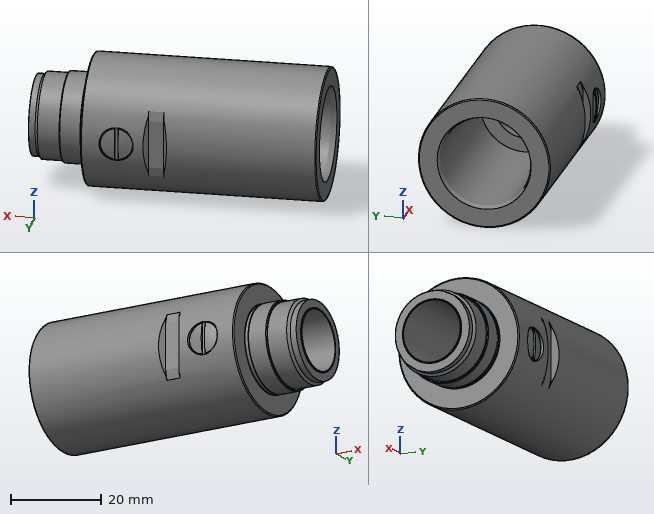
import cadquery as cq
import math

total_length = 66.0
barrel_length = 53.05
barrel_radius = 15.015
barrel_edge_chamfer = 0.25
bore_radius = 10.3
mouth_radius = 10.7
mouth_depth = 1.25

notch_center_x = 36.3
notch_floor_width = 3.4
notch_side_run = 0.9
notch_floor_y = 13.45
notch_floor_half_height = 5.5
notch_half_height = 7.65
notch_end_y = math.sqrt(barrel_radius**2 - notch_half_height**2)

screw_center_x = 45.0
screw_radius = 3.8
screw_bevel = 0.2
screw_edge_y = 14.45
screw_crown_y = 14.85
slot_width = 0.8
slot_floor_y = 14.3

spigot_start_x = 39.6
spigot_bore_radius = 7.05
neck_end_x = 54.0
neck_radius = 10.1
collar_end_x = 58.75
collar_chamfer = 0.2
thread_radius = 9.85
thread_end_x = 63.7
tip_radius = 9.25
tip_start_x = thread_end_x + thread_radius - tip_radius
rim_radius = 7.3
rim_height = 0.2
tip_end_x = total_length - rim_height

side_angles = (0, 180)

cutter_overshoot = 0.65


def revolve_about_x(points):
    """Revolve an outline of (x, radius) points about the X axis."""
    return cq.Workplane("XY").polyline(points).close().revolve(360, (0, 0, 0), (1, 0, 0))


def turn_about_x(body, angle):
    return body.rotate((0, 0, 0), (1, 0, 0), angle)


def make_notch_cutter():
    """Notch with flared sides above its floor and sloping floor ends."""
    outer_y = barrel_radius + cutter_overshoot
    slope = notch_side_run / (barrel_radius - notch_floor_y)
    half_floor = notch_floor_width / 2
    half_outer = half_floor + slope * (outer_y - notch_floor_y)
    flared = (
        cq.Workplane("XY")
        .polyline([
            (notch_center_x - half_floor, -notch_end_y),
            (notch_center_x - half_floor, -notch_floor_y),
            (notch_center_x - half_outer, -outer_y),
            (notch_center_x + half_outer, -outer_y),
            (notch_center_x + half_floor, -notch_floor_y),
            (notch_center_x + half_floor, -notch_end_y),
        ])
        .close()
        .extrude(notch_half_height, both=True)
    )
    above_floor = (
        cq.Workplane("YZ")
        .polyline([
            (-outer_y, -notch_half_height),
            (-notch_end_y, -notch_half_height),
            (-notch_floor_y, -notch_floor_half_height),
            (-notch_floor_y, notch_floor_half_height),
            (-notch_end_y, notch_half_height),
            (-outer_y, notch_half_height),
        ])
        .close()
        .extrude(total_length)
    )
    return flared.intersect(above_floor)


def make_screw_hole_cutter():
    """Radial hole from the spigot axis out past the barrel surface."""
    return (
        cq.Workplane("XZ")
        .center(screw_center_x, 0)
        .circle(screw_radius)
        .extrude(barrel_radius + cutter_overshoot)
    )


def make_barrel():
    barrel = cq.Workplane("YZ").circle(barrel_radius).extrude(barrel_length)
    barrel = barrel.edges().chamfer(barrel_edge_chamfer)
    bore = revolve_about_x([
        (0, 0),
        (0, mouth_radius),
        (mouth_depth, bore_radius),
        (barrel_length, bore_radius),
        (barrel_length, 0),
    ])
    barrel = barrel.cut(bore)
    for angle in side_angles:
        barrel = barrel.cut(turn_about_x(make_notch_cutter(), angle))
        barrel = barrel.cut(turn_about_x(make_screw_hole_cutter(), angle))
    return barrel


def make_spigot():
    return revolve_about_x([
        (spigot_start_x, spigot_bore_radius),
        (spigot_start_x, bore_radius),
        (barrel_length, bore_radius),
        (barrel_length, neck_radius),
        (neck_end_x, neck_radius),
        (neck_end_x, bore_radius),
        (collar_end_x - collar_chamfer, bore_radius),
        (collar_end_x, bore_radius - collar_chamfer),
        (collar_end_x, thread_radius),
        (thread_end_x, thread_radius),
        (tip_start_x, tip_radius),
        (tip_end_x, tip_radius),
        (tip_end_x, rim_radius),
        (total_length, rim_radius),
        (total_length, spigot_bore_radius),
    ])


def make_screw():
    """Screw on the -Y side: domed, slotted head and an end shaped to the spigot."""
    face_radius = screw_radius - screw_bevel
    dome_rise = screw_crown_y - screw_edge_y
    dome_radius = (face_radius**2 / dome_rise + dome_rise) / 2
    dome_mid_x = face_radius / 2
    dome_mid_y = screw_crown_y - dome_radius + math.sqrt(dome_radius**2 - dome_mid_x**2)
    screw = (
        cq.Workplane("XY")
        .moveTo(0, 0)
        .lineTo(screw_radius, 0)
        .lineTo(screw_radius, -screw_edge_y + screw_bevel)
        .lineTo(face_radius, -screw_edge_y)
        .threePointArc((dome_mid_x, -dome_mid_y), (0, -screw_crown_y))
        .close()
        .revolve(360, (0, 0, 0), (0, 1, 0))
        .translate((screw_center_x, 0, 0))
    )
    slot = (
        cq.Workplane("XZ", origin=(screw_center_x, -slot_floor_y, 0))
        .rect(slot_width, 2 * screw_radius)
        .extrude(barrel_radius - slot_floor_y)
    )
    spigot_space = cq.Workplane("YZ").circle(bore_radius).extrude(total_length)
    return screw.cut(slot).cut(spigot_space)


barrel = make_barrel()
spigot = make_spigot()
screws = [turn_about_x(make_screw(), angle) for angle in side_angles]

result = cq.Compound.makeCompound([
    barrel.val(),
    spigot.val(),
    *[solid for screw in screws for solid in screw.solids().vals()],
])